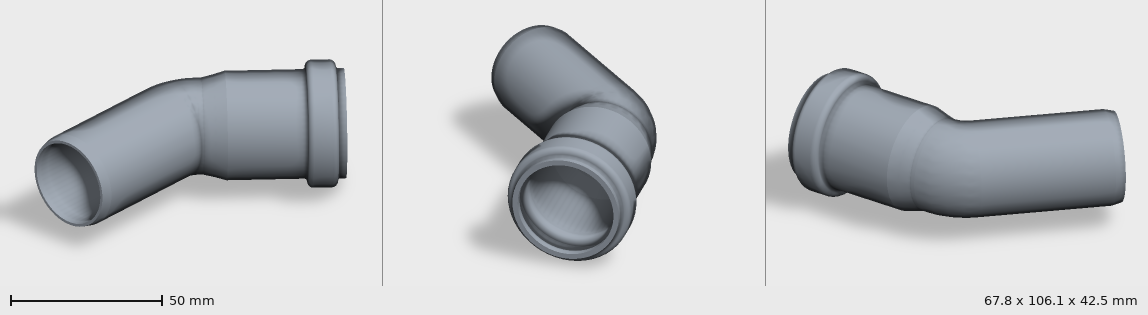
import cadquery as cq
import math

wall = 1.8

pipe_radius = 32.2 / 2
spigot_length = 48.7
tip_length = 3.5
tip_reduction = 0.8

bend_angle = 45
bend_radius = 13.8

socket_length = 49.1
cone_start = 1.7
cone_end = 9.5
body_radius = 36.3 / 2

lip_radius = 36.6 / 2
collar_radius = 42.5 / 2
collar_front = 2.8
collar_back = 12.8
collar_rounding = 2.0
front_fillet = collar_radius - lip_radius - collar_rounding
back_fillet = collar_radius - body_radius - collar_rounding

angle = math.radians(bend_angle)
socket_origin = (
    bend_radius * (1 - math.cos(angle)),
    spigot_length + bend_radius * math.sin(angle),
    0,
)
socket_plane = cq.Plane(
    origin=socket_origin,
    xDir=(math.cos(angle), -math.sin(angle), 0),
    normal=(0, 0, 1),
)


def revolve_about_axis(profile):
    """Revolve a closed profile about its local Y axis."""
    return profile.close().revolve(360, (0, 0, 0), (0, 1, 0))


def arc_corner(profile, start, end, center):
    """Add a quarter arc between two points around the given center."""
    radius = math.dist(start, center)
    chord_middle = [(a + b) / 2 for a, b in zip(start, end)]
    half_diagonal = math.dist(chord_middle, center)
    middle = tuple(c + (m - c) * radius / half_diagonal for m, c in zip(chord_middle, center))
    return profile.threePointArc(middle, end)


def spigot_outside():
    profile = (
        cq.Workplane("XY")
        .lineTo(pipe_radius - tip_reduction, 0)
        .lineTo(pipe_radius, tip_length)
        .lineTo(pipe_radius, spigot_length)
        .lineTo(0, spigot_length)
    )
    return revolve_about_axis(profile)


def spigot_bore():
    profile = cq.Workplane("XY").rect(pipe_radius - wall, spigot_length, centered=False)
    return profile.revolve(360, (0, 0, 0), (0, 1, 0))


def bend(radius):
    """Swept pipe section, trimmed at the bend pivot that lies inside the circle."""
    half_height = math.sqrt(radius**2 - bend_radius**2)
    section = (
        cq.Workplane("XZ", origin=(0, spigot_length, 0))
        .moveTo(bend_radius, -half_height)
        .threePointArc((-radius, 0), (bend_radius, half_height))
        .close()
    )
    return section.revolve(bend_angle, (bend_radius, 1.1, 0), (bend_radius, 0, 0))


def socket(inset):
    """Socket of revolution with its wall surface moved inwards by inset."""
    pipe = pipe_radius - inset
    body = body_radius - inset
    lip = lip_radius - inset
    collar = collar_radius - inset
    convex = collar_rounding - inset
    back_concave = back_fillet + inset
    front_concave = front_fillet + inset
    back_face = socket_length - collar_back + inset
    front_face = socket_length - collar_front - inset

    back_foot = back_face - back_concave
    back_crest = back_face + convex
    front_crest = front_face - convex
    front_foot = front_face + front_concave
    back_turn = body + back_concave
    front_turn = lip + front_concave
    crest_mid = collar - convex

    profile = (
        cq.Workplane(socket_plane)
        .lineTo(pipe, 0)
        .lineTo(pipe, cone_start)
        .lineTo(body, cone_end)
        .lineTo(body, back_foot)
    )
    profile = arc_corner(profile, (body, back_foot), (back_turn, back_face), (back_turn, back_foot))
    profile = arc_corner(profile, (back_turn, back_face), (collar, back_crest), (crest_mid, back_crest))
    profile = profile.lineTo(collar, front_crest)
    profile = arc_corner(profile, (collar, front_crest), (front_turn, front_face), (crest_mid, front_crest))
    profile = arc_corner(profile, (front_turn, front_face), (lip, front_foot), (front_turn, front_foot))
    profile = profile.lineTo(lip, socket_length).lineTo(0, socket_length)
    return revolve_about_axis(profile)


outside = spigot_outside().union(bend(pipe_radius)).union(socket(0))
result = outside.cut(spigot_bore()).cut(bend(pipe_radius - wall)).cut(socket(wall))